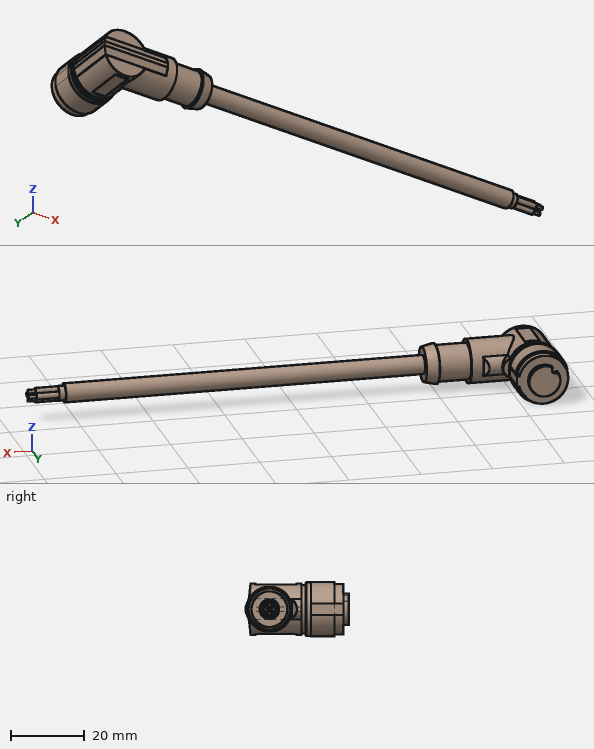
import cadquery as cq
import math


head_radius = 7.0
head_top = 8.6
head_bottom = -5.1
head_bottom_drop = 0.7
flat_half_width = 2.0
flat_bottom = -3.8
flat_top = 7.3
flat_height = math.sqrt(head_radius**2 - flat_half_width**2)

neck_radius = 6.6
nut_diameter = 14.8
nut_radius = nut_diameter / 2
ring_radius = 7.3
collar_radius = 6.9
ring_bottom = 9.8
ring_chamfer = 0.3
nut_bottom = 11.3
nut_top = 17.5
collar_top = 20.0
nut_mark_width = 3.0
nut_mark_half_width = nut_mark_width / 2
nut_flat_distance = math.sqrt(nut_radius**2 - nut_mark_half_width**2)
lug_depth = 1.5
insert_diameter = 8.6
insert_radius = insert_diameter / 2
insert_top = 21.5
keyway_radius = 1.0
keyway_angle = math.radians(135)

arm_diameter = 12.1
arm_radius = arm_diameter / 2
arm_end = 16.5
sleeve_diameter = 10.1
sleeve_radius = sleeve_diameter / 2
bead_start = 25.2
bead_diameter = 11.3
bead_radius = bead_diameter / 2
bead_rise = 0.3
bead_middle = 27.2
bead_middle_radius = 5.3
sleeve_end = 28.8
sleeve_end_radius = 4.8
cable_radius = 2.6
cable_end = 128.7

total_length = 146.2
core_radius = 2.0
core_end = 130.5
wire_radius = 0.9
wire_end = 136.7
wire_count = 4
conductor_radius = 0.51
conductor_end = total_length - nut_radius
wire_offset = core_radius - wire_radius

band_width = 5.7
band_half_width = band_width / 2
crest_half_width = 0.66
band_drop = 0.9
band_overrun = 2.2
band_left = -nut_radius
band_right = 8.5
band_bottom = -6.5
band_arm_top = 7.5
band_arm_slope_start = 12.0
band_arm_end = 13.3
band_arm_end_top = 6.1


def along_y(radius, start, end):
    """Cylinder on the head axis."""
    return cq.Workplane("XZ", origin=(0, start, 0)).circle(radius).extrude(start - end)


def along_x(radius, start, end, y=0.0, z=0.0):
    """Cylinder parallel to the arm axis."""
    return cq.Workplane("YZ", origin=(start, y, z)).circle(radius).extrude(end - start)


def span_box(x_span, y_span, z_span):
    """Box between the given limits."""
    spans = (x_span, y_span, z_span)
    sizes = [high - low for low, high in spans]
    corner = [low for low, high in spans]
    return cq.Workplane("XY").box(*sizes, centered=False).translate(tuple(corner))


def make_head():
    """Round head with a roof-shaped bottom and a flat on its upper and lower side."""
    ridge_bottom = head_bottom - head_bottom_drop
    body = along_y(head_radius, ridge_bottom, head_top)
    roof = (
        cq.Workplane("YZ")
        .polyline([
            (head_top, head_radius),
            (head_bottom, head_radius),
            (ridge_bottom, 0),
            (head_bottom, -head_radius),
            (head_top, -head_radius),
        ])
        .close()
        .extrude(head_radius, both=True)
    )
    body = body.intersect(roof)
    flat_x = (-flat_half_width, flat_half_width)
    flat_y = (flat_bottom, flat_top)
    body = body.cut(span_box(flat_x, flat_y, (flat_height, nut_radius)))
    return body.cut(span_box(flat_x, flat_y, (-nut_radius, -flat_height)))


def make_nut():
    """Coupling nut with a flat on one side and a lug on the other, plus its collar and neck."""
    mark_z = (-nut_mark_half_width, nut_mark_half_width)
    nut = along_y(nut_radius, nut_bottom, nut_top)
    nut = nut.cut(span_box((-2 * nut_radius, -nut_flat_distance), (nut_bottom, nut_top), mark_z))
    ring = along_y(ring_radius, ring_bottom, nut_bottom).faces("<Y").chamfer(ring_chamfer)
    lug = span_box((nut_radius - lug_depth, nut_radius), (nut_bottom, collar_top), mark_z)
    neck = along_y(neck_radius, head_top, ring_bottom)
    collar = along_y(collar_radius, nut_top, collar_top)
    return neck.union(ring).union(nut).union(collar).union(lug)


def make_insert():
    """Contact insert with a round keyway in its rim."""
    keyway = along_y(keyway_radius, collar_top, insert_top).translate((
        insert_radius * math.cos(keyway_angle),
        0,
        insert_radius * math.sin(keyway_angle),
    ))
    return along_y(insert_radius, collar_top, insert_top).cut(keyway)


def make_arm():
    """Turned arm, sleeve with a beaded end, and cable."""
    return (
        cq.Workplane("XY")
        .moveTo(0, 0)
        .lineTo(0, arm_radius)
        .lineTo(arm_end, arm_radius)
        .lineTo(arm_end, sleeve_radius)
        .lineTo(bead_start, sleeve_radius)
        .lineTo(bead_start + bead_rise, bead_radius)
        .threePointArc((bead_middle, bead_middle_radius), (sleeve_end, sleeve_end_radius))
        .lineTo(sleeve_end, cable_radius)
        .lineTo(cable_end, cable_radius)
        .lineTo(cable_end, 0)
        .close()
        .revolve(360, (0, 0, 0), (1, 0, 0))
    )


def make_wires():
    """Cable core that splits into insulated wires with bare conductors."""
    wires = along_x(core_radius, cable_end, core_end)
    for index in range(wire_count):
        angle = 2 * math.pi * index / wire_count
        y = wire_offset * math.cos(angle)
        z = wire_offset * math.sin(angle)
        wires = wires.union(along_x(wire_radius, core_end, wire_end, y, z))
        wires = wires.union(along_x(conductor_radius, wire_end, conductor_end, y, z))
    return wires


def make_outer_band():
    """Band down the head and along the arm, with a flat crest and evenly falling sides."""
    far_x = band_arm_end + band_overrun
    far_y = head_top + band_overrun
    outline = [
        (band_left, band_bottom),
        (far_x, band_bottom),
        (far_x, 0),
        (0, 0),
        (0, far_y),
        (band_left, far_y),
    ]
    fall_height = band_half_width - crest_half_width
    fall_angle = math.degrees(math.atan(band_drop / fall_height))
    crest = cq.Workplane("XY").polyline(outline).close().extrude(crest_half_width)
    side = (
        cq.Workplane("XY", origin=(0, 0, crest_half_width))
        .polyline(outline)
        .close()
        .extrude(fall_height, taper=fall_angle)
    )
    half = crest.union(side)
    limits = span_box(
        (band_left, band_arm_end),
        (band_bottom, head_top),
        (-band_half_width, band_half_width),
    )
    return half.union(half.mirror("XY")).intersect(limits)


def round_rib(plane, crest, length):
    """Rib with a half-round crest, its profile standing on the origin of the given plane."""
    return (
        cq.Workplane(plane)
        .moveTo(0, -band_half_width)
        .lineTo(crest - band_half_width, -band_half_width)
        .threePointArc((crest, 0), (crest - band_half_width, band_half_width))
        .lineTo(0, band_half_width)
        .close()
        .extrude(length)
    )


def make_inner_ribs():
    """Round ribs in the inner corner of the head and arm, the arm rib sloping off at its end."""
    head_rib = round_rib("XZ", band_right, -head_top)
    arm_rib = round_rib("YZ", band_arm_top, band_arm_end)
    slope_cut = (
        cq.Workplane("XY")
        .polyline([
            (band_arm_slope_start, band_arm_top),
            (band_arm_end, band_arm_top),
            (band_arm_end, band_arm_end_top),
        ])
        .close()
        .extrude(band_half_width, both=True)
    )
    return head_rib.union(arm_rib.cut(slope_cut))


result = (
    make_arm()
    .union(make_head())
    .union(make_outer_band())
    .union(make_inner_ribs())
    .union(make_nut())
    .union(make_insert())
    .union(make_wires())
)